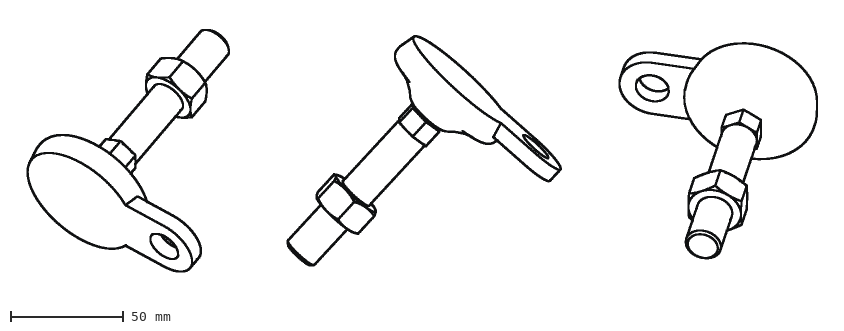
import cadquery as cq
import math

total_height = 107.0

foot_radius = 60.0 / 2
underside_radius = 28.5
taper_height = 7.4
rim_top = 8.9
shoulder_radius = 4.0
crown_top = 21.9
crown_edge_height = 20.3
crown_edge_radius = 11.9
crown_slope = math.radians(45)

lug_offset = 1.5 * foot_radius
lug_radius = foot_radius / 2
lug_thickness = 7.1
lug_hole_diameter = lug_radius

stud_diameter = 16.0
stud_chamfer = 1.2
neck_diameter = 10.0
hex_bottom = 22.9
hex_height = 9.0

nut_across_flats = 24.0
nut_bottom = 69.4
nut_height = 13.0
nut_chamfer_angle = math.radians(30)


def cylinder(diameter, bottom, top):
    """Solid cylinder on the Y axis between two heights."""
    circle = cq.Workplane("XZ", origin=(0, bottom, 0)).circle(diameter / 2)
    return circle.extrude(bottom - top)


def hexagon(across_flats, bottom, height):
    """Hexagonal prism on the Y axis with two flats facing +X and -X."""
    corner_diameter = across_flats / math.cos(math.radians(30))
    outline = cq.Workplane("XZ", origin=(0, bottom, 0)).transformed(rotate=(0, 0, 90))
    return outline.polygon(6, corner_diameter).extrude(-height)


def make_foot():
    """Revolved foot: tapered rim, rounded shoulder, concave flank and rounded crown."""
    shoulder_center = foot_radius - shoulder_radius

    def shoulder_point(angle):
        radius = shoulder_center + shoulder_radius * math.cos(angle)
        return radius, rim_top + shoulder_radius * math.sin(angle)

    slope_x = math.sin(crown_slope)
    slope_y = math.cos(crown_slope)
    across = crown_edge_radius - shoulder_center
    rise = crown_edge_height - rim_top
    reach = across * slope_x + rise * slope_y
    flank_radius = (across**2 + rise**2 - shoulder_radius**2) / (2 * (shoulder_radius - reach))
    flank_center_x = crown_edge_radius + flank_radius * slope_x
    flank_center_y = crown_edge_height + flank_radius * slope_y
    shoulder_sweep = math.atan2(flank_center_y - rim_top, flank_center_x - shoulder_center)
    flank_mid_angle = (shoulder_sweep + math.pi / 2 - crown_slope) / 2
    flank_mid = (
        flank_center_x - flank_radius * math.cos(flank_mid_angle),
        flank_center_y - flank_radius * math.sin(flank_mid_angle),
    )

    crown_rounding = (crown_top - crown_edge_height) / (1 - math.cos(crown_slope))
    crown_center_radius = crown_edge_radius - crown_rounding * math.sin(crown_slope)
    crown_mid = (
        crown_center_radius + crown_rounding * math.sin(crown_slope / 2),
        crown_top - crown_rounding * (1 - math.cos(crown_slope / 2)),
    )
    profile = (
        cq.Workplane("XY")
        .lineTo(underside_radius, 0)
        .lineTo(foot_radius, taper_height)
        .lineTo(foot_radius, rim_top)
        .threePointArc(shoulder_point(shoulder_sweep / 2), shoulder_point(shoulder_sweep))
        .threePointArc(flank_mid, (crown_edge_radius, crown_edge_height))
        .threePointArc(crown_mid, (crown_center_radius, crown_top))
        .lineTo(0, crown_top)
        .close()
    )
    return profile.revolve(360, (0, 0), (0, 1))


def make_lug():
    """Flat lug with a round end, running from the foot axis toward +X."""
    bar = cq.Workplane("XZ").center(lug_offset / 2, 0).rect(lug_offset, 2 * lug_radius)
    bar = bar.extrude(-lug_thickness)
    end = cq.Workplane("XZ").center(lug_offset, 0).circle(lug_radius).extrude(-lug_thickness)
    hole = cq.Workplane("XZ").center(lug_offset, 0).circle(lug_hole_diameter / 2)
    return bar.union(end).cut(hole.extrude(-lug_thickness))


def make_stud():
    """Stud with a chamfered tip, standing on a hexagon and a narrow neck."""
    hex_top = hex_bottom + hex_height
    shank = cylinder(stud_diameter, hex_top, total_height).faces(">Y").chamfer(stud_chamfer)
    neck = cylinder(neck_diameter, taper_height, hex_bottom)
    return neck.union(hexagon(stud_diameter, hex_bottom, hex_height)).union(shank)


def make_nut():
    """Hexagon nut with its corners turned off conically at both ends."""
    flat_radius = nut_across_flats / 2
    corner_radius = flat_radius / math.cos(math.radians(30))
    chamfer_height = (corner_radius - flat_radius) * math.tan(nut_chamfer_angle)
    nut_top = nut_bottom + nut_height
    envelope = (
        cq.Workplane("XY")
        .polyline([
            (0, nut_bottom),
            (flat_radius, nut_bottom),
            (corner_radius, nut_bottom + chamfer_height),
            (corner_radius, nut_top - chamfer_height),
            (flat_radius, nut_top),
            (0, nut_top),
        ])
        .close()
        .revolve(360, (0, 0), (0, 1))
    )
    return hexagon(nut_across_flats, nut_bottom, nut_height).intersect(envelope)


result = make_foot().union(make_lug()).union(make_stud()).union(make_nut())